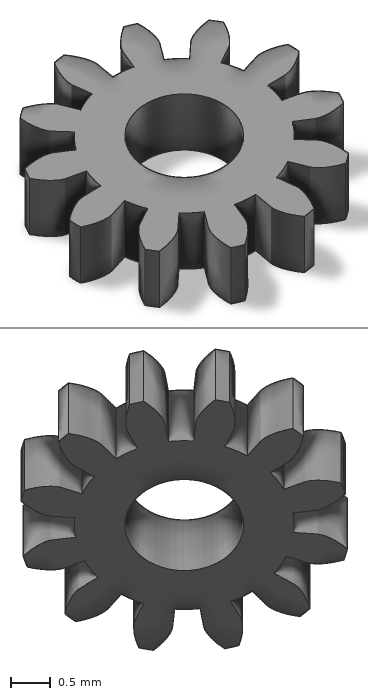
import cadquery as cq
import math

TOOTH_COUNT = 12
MODULE = 0.3
PRESSURE_ANGLE = math.radians(20)
DEDENDUM = 0.41
FACE_WIDTH = 1.0
BORE_DIAMETER = 1.5
FLANK_POINTS = 7

PITCH_RADIUS = MODULE * TOOTH_COUNT / 2
TIP_RADIUS = PITCH_RADIUS + MODULE
ROOT_RADIUS = PITCH_RADIUS - DEDENDUM
BASE_RADIUS = PITCH_RADIUS * math.cos(PRESSURE_ANGLE)

TOOTH_PITCH_ANGLE = 2 * math.pi / TOOTH_COUNT


def involute_angle(pressure_angle):
    """Polar angle swept by an involute up to the given pressure angle."""
    return math.tan(pressure_angle) - pressure_angle


BASE_HALF_ANGLE = TOOTH_PITCH_ANGLE / 4 + involute_angle(PRESSURE_ANGLE)


def polar(radius, angle):
    return (radius * math.cos(angle), radius * math.sin(angle))


def flank(centre_angle, side):
    """Involute points from base circle to tip circle; side is -1 (clockwise) or +1 (counterclockwise)."""
    points = []
    for i in range(FLANK_POINTS):
        radius = BASE_RADIUS + (TIP_RADIUS - BASE_RADIUS) * i / (FLANK_POINTS - 1)
        half_angle = BASE_HALF_ANGLE - involute_angle(math.acos(BASE_RADIUS / radius))
        points.append(polar(radius, centre_angle + side * half_angle))
    return points


def add_tooth(outline, centre_angle):
    """Extend the outline over one tooth and along the root arc to the next tooth."""
    rising = flank(centre_angle, -1)
    falling = flank(centre_angle, 1)[::-1]
    gap_centre = centre_angle + TOOTH_PITCH_ANGLE / 2
    next_tooth_start = centre_angle + TOOTH_PITCH_ANGLE - BASE_HALF_ANGLE

    outline = outline.lineTo(*rising[0]).spline(rising[1:], includeCurrent=True)
    outline = outline.threePointArc(polar(TIP_RADIUS, centre_angle), falling[0])
    outline = outline.spline(falling[1:], includeCurrent=True)
    outline = outline.lineTo(*polar(ROOT_RADIUS, centre_angle + BASE_HALF_ANGLE))
    return outline.threePointArc(polar(ROOT_RADIUS, gap_centre), polar(ROOT_RADIUS, next_tooth_start))


def gear_blank():
    outline = cq.Workplane("XY").moveTo(*polar(ROOT_RADIUS, -BASE_HALF_ANGLE))
    for tooth in range(TOOTH_COUNT):
        outline = add_tooth(outline, tooth * TOOTH_PITCH_ANGLE)
    return outline.close().extrude(FACE_WIDTH)


def bore():
    return cq.Workplane("XY").circle(BORE_DIAMETER / 2).extrude(FACE_WIDTH)


result = gear_blank().cut(bore())